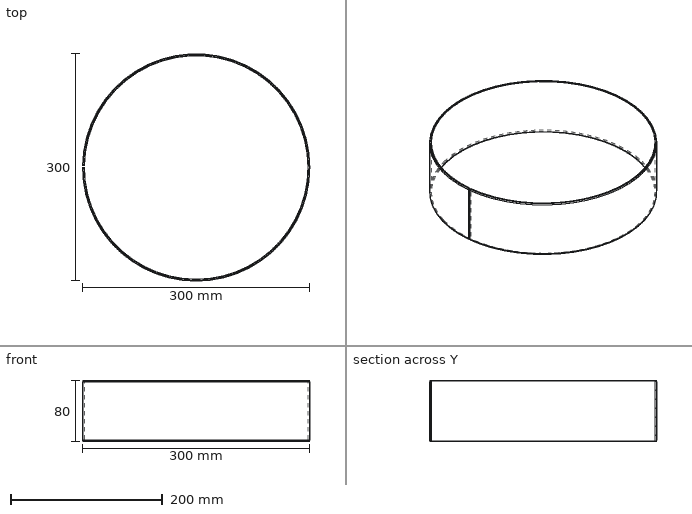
import math

import cadquery as cq

outer_diameter = 300.0
height = 80.0
wall = 2.5
outer_bevel_height = 1.8
outer_bevel_angle = 20.0
inner_bevel_height = 0.6
inner_bevel_angle = 30.0
gap_angle = 1.0

outer_radius = outer_diameter / 2
inner_radius = outer_radius - wall
outer_bevel_depth = outer_bevel_height * math.tan(math.radians(outer_bevel_angle))
inner_bevel_depth = inner_bevel_height * math.tan(math.radians(inner_bevel_angle))
outer_rim_radius = outer_radius - outer_bevel_depth
inner_rim_radius = inner_radius + inner_bevel_depth


def make_ring():
    """Closed ring standing on Z = 0, bevelled inside and outside at both rims."""
    wall_section = [
        (inner_rim_radius, 0),
        (outer_rim_radius, 0),
        (outer_radius, outer_bevel_height),
        (outer_radius, height - outer_bevel_height),
        (outer_rim_radius, height),
        (inner_rim_radius, height),
        (inner_radius, height - inner_bevel_height),
        (inner_radius, inner_bevel_height),
    ]
    axis_start = (0, 0, 0)
    axis_end = (0, 1, 0)
    return cq.Workplane("XZ").polyline(wall_section).close().revolve(360, axis_start, axis_end)


def make_gap_wedge():
    """Full-height wedge from the ring axis, bounded by the -X axis and a radial plane."""
    wedge_length = outer_diameter
    wedge_width = wedge_length * math.tan(math.radians(gap_angle))
    wedge_outline = [
        (0, 0),
        (-wedge_length, 0),
        (-wedge_length, wedge_width),
    ]
    return cq.Workplane("XY").polyline(wedge_outline).close().extrude(height)


result = make_ring().cut(make_gap_wedge())